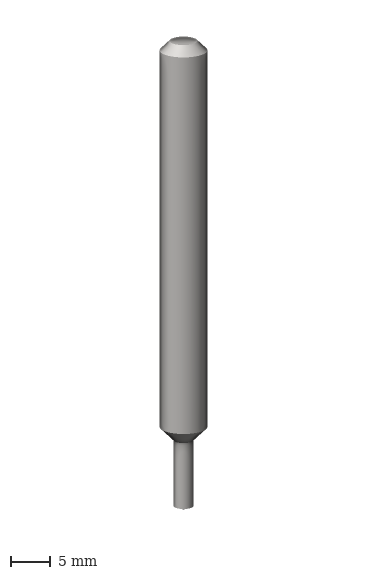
import cadquery as cq
import math

total_length = 62.0
shank_diameter = 6.0
cutter_diameter = 2.5
cutter_length = 9.2
point_angle = 140.0
end_chamfer = 1.25

shank_radius = shank_diameter / 2
cutter_radius = cutter_diameter / 2
point_height = cutter_radius / math.tan(math.radians(point_angle / 2))
taper_height = shank_radius - cutter_radius
shoulder_z = cutter_length + taper_height


def make_cutter():
    """Slender round cutter with a conical point, ending flat against the shank."""
    half_profile = (
        cq.Workplane("XZ")
        .moveTo(0, 0)
        .lineTo(cutter_radius, point_height)
        .lineTo(cutter_radius, cutter_length)
        .lineTo(0, cutter_length)
        .close()
    )
    return half_profile.revolve(360, (0, 0, 0), (0, 1, 0))


def make_shank():
    """Round shank that tapers down to the cutter and is chamfered at its free end."""
    half_profile = (
        cq.Workplane("XZ")
        .moveTo(0, cutter_length)
        .lineTo(cutter_radius, cutter_length)
        .lineTo(shank_radius, shoulder_z)
        .lineTo(shank_radius, total_length - end_chamfer)
        .lineTo(shank_radius - end_chamfer, total_length)
        .lineTo(0, total_length)
        .close()
    )
    return half_profile.revolve(360, (0, 0, 0), (0, 1, 0))


cutter = make_cutter()
shank = make_shank()
result = cq.Compound.makeCompound([cutter.val(), shank.val()])